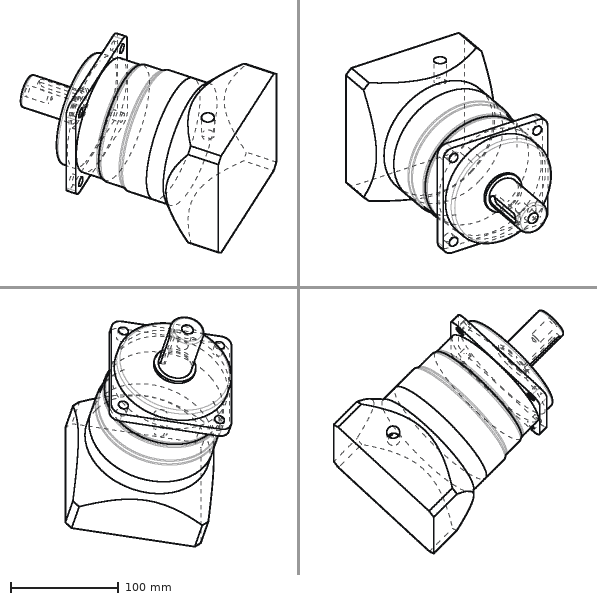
import cadquery as cq
import math

TOTAL_LENGTH = 226.7

SHAFT_RADIUS = 32.0 / 2
SHAFT_TIP_ROUND = 2.0
CENTRE_HOLE_RADIUS = 5.5
CENTRE_HOLE_DEPTH = 22.7
DRILL_TIP_ANGLE = 118.0
KEYWAY_LENGTH = 44.9
KEYWAY_WIDTH = 10.0
KEYWAY_DEPTH = 5.0
KEYWAY_MID_X = 27.7

COLLAR_RADIUS = 20.0
COLLAR_START = 52.0

PILOT_RADIUS = 110.0 / 2
PILOT_START = 54.6
PILOT_ROUND = 2.5

FLANGE_SIDE = 115.2
FLANGE_START = 66.6
FLANGE_THICKNESS = 10.0
FLANGE_CORNER_RADIUS = 10.0
BOLT_SPACING = 92.0
BOLT_HOLE_DIAMETER = 9.3

NECK_RADIUS = 56.2
RING_RADIUS = 57.8
BARREL_RADIUS = 59.8
FIRST_STEP_START = 97.7
FIRST_STEP_CREASE = 99.7
FIRST_STEP_CREASE_RADIUS = 56.7
FIRST_STEP_END = 101.8
FIRST_STEP_INNER_ROUND = 6.1
FIRST_STEP_OUTER_ROUND = 3.2
SECOND_STEP_START = 121.5
SECOND_STEP_END = 125.0
SECOND_STEP_ROUND = 2.7

ADAPTER_START = 150.3
ADAPTER_CONE_START = 167.5
ADAPTER_CONE_ANGLE = 45.0
ADAPTER_SIDE = 130.0
ADAPTER_CORNER_RADIUS = 87.7

ACCESS_X = 194.5
ACCESS_Y = -18.5
ACCESS_DIAMETER = 12.0
ACCESS_DEPTH = 22.7
HOLLOW_RADIUS = 11.8
HOLLOW_AXIS_OFFSET = 11.3
HOLLOW_EDGE_OFFSET = 3.9

FLANGE_END = FLANGE_START + FLANGE_THICKNESS


def cylinder_along_x(start, end, radius):
    return cq.Workplane("YZ").workplane(offset=start).circle(radius).extrude(end - start)


def revolve_about_x(points):
    """Solid of revolution of a closed outline of (x, radius) points."""
    return cq.Workplane("XY").polyline(points).close().revolve(360, (0, 0, 0), (1, 0, 0))


def round_circle_at(body, x, radius, round_radius):
    """Round the circular edge that has this X and this radius."""
    reach = 0.2
    corner = cq.selectors.BoxSelector(
        (x - reach, -radius - reach, -radius - reach),
        (x + reach, radius + reach, radius + reach),
        boundingbox=True,
    )
    return body.edges(corner).edges("%CIRCLE").fillet(round_radius)


def make_shaft():
    shaft = cylinder_along_x(0, COLLAR_START, SHAFT_RADIUS)
    shaft = shaft.faces("<X").edges().fillet(SHAFT_TIP_ROUND)
    return shaft.cut(make_centre_hole()).cut(make_keyway())


def make_centre_hole():
    """Blind hole in the shaft end with a conical drill tip."""
    tip_depth = CENTRE_HOLE_RADIUS / math.tan(math.radians(DRILL_TIP_ANGLE / 2))
    return revolve_about_x([
        (0, 0),
        (0, CENTRE_HOLE_RADIUS),
        (CENTRE_HOLE_DEPTH, CENTRE_HOLE_RADIUS),
        (CENTRE_HOLE_DEPTH + tip_depth, 0),
    ])


def make_keyway():
    """Round-ended key slot in the +Y side of the shaft."""
    return (
        cq.Workplane("XZ", origin=(KEYWAY_MID_X, SHAFT_RADIUS, 0))
        .slot2D(KEYWAY_LENGTH, KEYWAY_WIDTH)
        .extrude(KEYWAY_DEPTH)
    )


def make_flange():
    return (
        cq.Workplane("YZ")
        .workplane(offset=FLANGE_START)
        .rect(FLANGE_SIDE, FLANGE_SIDE)
        .extrude(FLANGE_THICKNESS)
        .edges("|X")
        .fillet(FLANGE_CORNER_RADIUS)
        .faces("<X")
        .workplane(origin=(0, 0, 0))
        .rect(BOLT_SPACING, BOLT_SPACING, forConstruction=True)
        .vertices()
        .hole(BOLT_HOLE_DIAMETER)
    )


def make_barrel():
    barrel = revolve_about_x([
        (FLANGE_END, 0),
        (FLANGE_END, NECK_RADIUS),
        (FIRST_STEP_START, NECK_RADIUS),
        (FIRST_STEP_CREASE, FIRST_STEP_CREASE_RADIUS),
        (FIRST_STEP_END, RING_RADIUS),
        (SECOND_STEP_START, RING_RADIUS),
        (SECOND_STEP_END, BARREL_RADIUS),
        (ADAPTER_START, BARREL_RADIUS),
        (ADAPTER_START, 0),
    ])
    barrel = round_circle_at(barrel, FIRST_STEP_START, NECK_RADIUS, FIRST_STEP_INNER_ROUND)
    barrel = round_circle_at(barrel, FIRST_STEP_END, RING_RADIUS, FIRST_STEP_OUTER_ROUND)
    barrel = round_circle_at(barrel, SECOND_STEP_START, RING_RADIUS, SECOND_STEP_ROUND)
    return round_circle_at(barrel, SECOND_STEP_END, BARREL_RADIUS, SECOND_STEP_ROUND)


def make_gearbox():
    collar = cylinder_along_x(COLLAR_START, PILOT_START, COLLAR_RADIUS)
    pilot = cylinder_along_x(PILOT_START, FLANGE_START, PILOT_RADIUS)
    pilot = pilot.faces("<X").edges().fillet(PILOT_ROUND)
    return make_shaft().union(collar).union(pilot).union(make_flange()).union(make_barrel())


def make_access_hole():
    """Round hole down from the top face; its -Y side runs into a hollow below the flat floor."""
    floor_z = ADAPTER_SIDE / 2 - ACCESS_DEPTH
    top = cq.Workplane("XY", origin=(ACCESS_X, ACCESS_Y, ADAPTER_SIDE / 2))
    hole = top.circle(ACCESS_DIAMETER / 2).extrude(-ACCESS_DEPTH)
    deep_hole = top.circle(ACCESS_DIAMETER / 2).extrude(-ACCESS_DEPTH - HOLLOW_RADIUS)

    edge_to_axis = HOLLOW_AXIS_OFFSET - HOLLOW_EDGE_OFFSET
    axis_z = floor_z + math.sqrt(HOLLOW_RADIUS**2 - edge_to_axis**2)
    hollow = (
        cq.Workplane("YZ", origin=(ACCESS_X, ACCESS_Y - HOLLOW_AXIS_OFFSET, axis_z))
        .circle(HOLLOW_RADIUS)
        .extrude(ACCESS_DIAMETER, both=True)
    )
    return hole.union(hollow.intersect(deep_hole))


def make_adapter():
    """Square block with turned corners and a conical front, reached from a round neck."""
    cone_rise = ADAPTER_CORNER_RADIUS - BARREL_RADIUS
    cone_end = ADAPTER_CONE_START + cone_rise / math.tan(math.radians(ADAPTER_CONE_ANGLE))
    turned = revolve_about_x([
        (ADAPTER_START, 0),
        (ADAPTER_START, BARREL_RADIUS),
        (ADAPTER_CONE_START, BARREL_RADIUS),
        (cone_end, ADAPTER_CORNER_RADIUS),
        (TOTAL_LENGTH, ADAPTER_CORNER_RADIUS),
        (TOTAL_LENGTH, 0),
    ])
    block = (
        cq.Workplane("YZ")
        .workplane(offset=ADAPTER_START)
        .rect(ADAPTER_SIDE, ADAPTER_SIDE)
        .extrude(TOTAL_LENGTH - ADAPTER_START)
    )
    return turned.intersect(block).cut(make_access_hole())


gearbox = make_gearbox()
adapter = make_adapter()
result = cq.Compound.makeCompound([gearbox.val(), adapter.val()])